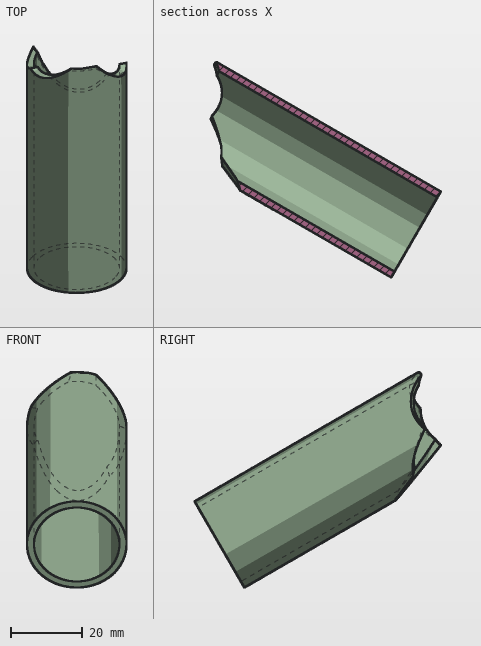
import cadquery as cq
import math

outer_diameter = 28.0
wall = 2.0
tilt = 30.0
hub_radius = 18.0
node_distance = 84.25
blank_length = 76.1
member_length = 138.35

neighbours = [
    (75.0, 183.6),
    (79.3, 143.7),
    (100.9, 87.4),
    (73.2, 13.6),
    (54.0, 308.0),
    (43.3, 272.0),
]

outer_radius = outer_diameter / 2
inner_radius = outer_radius - wall
node = cq.Vector(0, 0, node_distance)


def make_blank():
    """Straight tube standing on its square end."""
    ring = cq.Workplane("XY").circle(outer_radius).circle(inner_radius)
    return ring.extrude(blank_length)


def make_neighbour(angle, bearing):
    """Solid envelope of a neighbouring tube, running out from the node."""
    angle = math.radians(angle)
    bearing = math.radians(bearing)
    direction = cq.Vector(
        math.sin(angle) * math.cos(bearing),
        -math.sin(angle) * math.sin(bearing),
        -math.cos(angle),
    )
    envelope = cq.Solid.makeCylinder(outer_radius, member_length, node, direction)
    return cq.Workplane(envelope)


tube = make_blank().cut(cq.Workplane("XY").sphere(hub_radius).translate(node))
for neighbour_angle, neighbour_bearing in neighbours:
    tube = tube.cut(make_neighbour(neighbour_angle, neighbour_bearing))

result = tube.rotate((0, 0, 0), (1, 0, 0), tilt - 90)